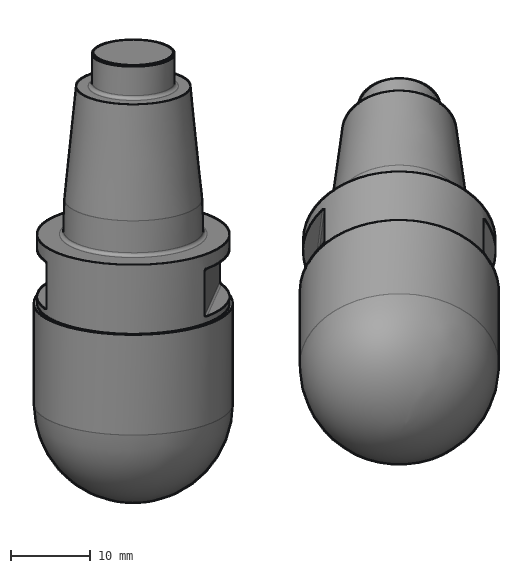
import cadquery as cq

total_height = 59.0
dome_diameter = 25.0
dome_radius = dome_diameter / 2
cap_top = 25.8

collar_radius = 24.2 / 2
collar_top = 34.9
neck_base_radius = 8.8
neck_blend_top = 39.6
neck_blend_radius = 8.7
neck_top_radius = 7.2
neck_top = 54.5
stub_radius = 10.4 / 2
root_fillet = 0.5
stub_chamfer = 0.2

flat_bottom = 26.65
flat_top = 33.0
flat_distance = 10.05
flat_fillet = 0.25
flat_angle = 25.5


def make_cap():
    """Solid cap with a hemispherical lower end resting on Z = 0."""
    half_profile = (
        cq.Workplane("XZ")
        .moveTo(0, 0)
        .radiusArc((dome_radius, dome_radius), -dome_radius)
        .lineTo(dome_radius, cap_top)
        .lineTo(0, cap_top)
        .close()
    )
    return half_profile.revolve(360, (0, 0, 0), (0, 1, 0))


def make_turned_plug():
    """Collar, neck and stub revolved about Z, with concave root fillets."""
    taper_direction = (neck_blend_radius - neck_top_radius, neck_blend_top - neck_top)
    half_profile = (
        cq.Workplane("XZ")
        .moveTo(0, cap_top)
        .lineTo(collar_radius, cap_top)
        .lineTo(collar_radius, collar_top)
        .lineTo(neck_base_radius + root_fillet, collar_top)
        .radiusArc((neck_base_radius, collar_top + root_fillet), root_fillet)
        .spline(
            [(neck_blend_radius, neck_blend_top)],
            tangents=[(0, 1), (-taper_direction[0], -taper_direction[1])],
            includeCurrent=True,
        )
        .lineTo(neck_top_radius, neck_top)
        .lineTo(stub_radius + root_fillet, neck_top)
        .radiusArc((stub_radius, neck_top + root_fillet), root_fillet)
        .lineTo(stub_radius, total_height - stub_chamfer)
        .lineTo(stub_radius - stub_chamfer, total_height)
        .lineTo(0, total_height)
        .close()
    )
    return half_profile.revolve(360, (0, 0, 0), (0, 1, 0))


def make_flat_cutter(angle):
    """Block that removes the collar beyond one wrench flat, leaving rounded inner corners."""
    return (
        cq.Workplane("XY", origin=(0, 0, flat_bottom))
        .center(0, -(flat_distance + collar_radius / 2))
        .rect(2 * collar_radius, collar_radius)
        .extrude(flat_top - flat_bottom)
        .edges("|X and >Y")
        .fillet(flat_fillet)
        .rotate((0, 0, 0), (0, 0, 1), angle)
    )


def make_plug():
    plug = make_turned_plug()
    for half_turn in (0, 180):
        plug = plug.cut(make_flat_cutter(half_turn - flat_angle))
    return plug


cap = make_cap()
plug = make_plug()
result = cq.Compound.makeCompound([cap.val(), plug.val()])